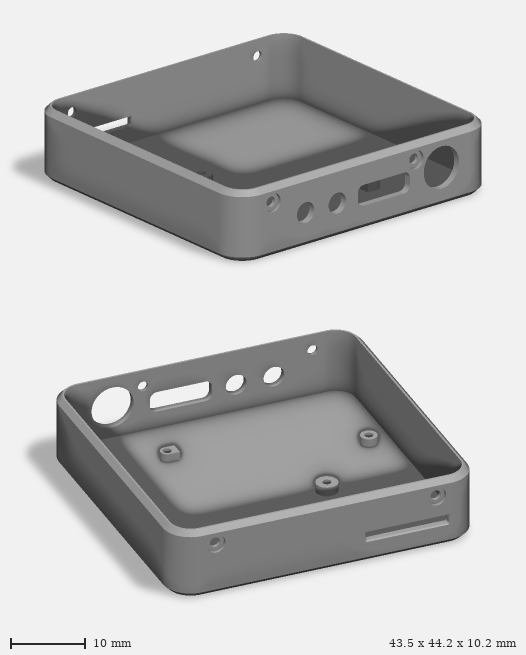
import cadquery as cq

length_x = 43.5
length_y = 44.2
height = 10.2
wall = 1.0
floor = 0.9
corner_radius = 4
rim_chamfer = 0.75

outer_x = length_x / 2
inner_x = outer_x - wall
floor_top = floor - height / 2
wall_cut_depth = 2 * wall

post_bore = 1.25
post_height = 1.33
round_posts = [
    (-3.55, -7.8, 3.1),
    (5.8, -17.85, 2.4),
]
d_post_x = 12.5
d_post_y = 8.6
d_post_width = 1.95
d_post_flat_offset = 1.45

screw_z = 2.65
screw_y = 16.05
screw_hole = 1.45
screw_head = 2.65
screw_head_depth = 0.5
near_screw_positions = [(-screw_y, screw_z), (screw_y, screw_z)]
far_screw_positions = [(-screw_y, screw_z), (8.6, screw_z)]

card_y = -11.75
card_length = 12.38
card_top = -0.45
card_height = 1.6
card_bevel = 0.18
card_corner_radius = 0.25

connector_z = -0.18
power_y = 13.05
power_z = 0.45
power_diameter = 6.1
port_y = 3.1
port_length = 9.0
port_height = 3.0
port_radius = 1.0
jack_diameter = 3.0
jack_positions = [(-4.95, connector_z), (-10.45, connector_z)]


def wall_plane(x):
    """Plane facing +X whose local axes are the part's Y and Z."""
    return cq.Workplane("YZ", origin=(x, 0, 0))


def make_shell():
    body = cq.Workplane("XY").box(length_x, length_y, height)
    body = body.edges("|Z").fillet(corner_radius)
    body = body.faces("<Z or >Z").chamfer(rim_chamfer)
    cavity = (
        cq.Workplane("XY", origin=(0, 0, floor_top))
        .rect(length_x - 2 * wall, length_y - 2 * wall)
        .extrude(height)
        .edges("|Z")
        .fillet(corner_radius - wall)
    )
    return body.cut(cavity)


def make_round_post(x, y, diameter):
    return (
        cq.Workplane("XY", origin=(x, y, floor_top))
        .circle(diameter / 2)
        .circle(post_bore / 2)
        .extrude(post_height)
    )


def make_d_post():
    radius = d_post_width / 2
    base = cq.Workplane("XY", origin=(d_post_x, d_post_y, floor_top))
    post = (
        base.moveTo(-radius, -d_post_flat_offset)
        .lineTo(radius, -d_post_flat_offset)
        .lineTo(radius, 0)
        .threePointArc((0, radius), (-radius, 0))
        .close()
        .extrude(post_height)
    )
    return post.cut(base.circle(post_bore / 2).extrude(post_height))


def make_near_screw_holes():
    outside = wall_plane(-outer_x).pushPoints(near_screw_positions)
    holes = outside.circle(screw_hole / 2).extrude(wall_cut_depth)
    heads = outside.circle(screw_head / 2).extrude(screw_head_depth)
    return holes.union(heads)


def card_slot_outline(inset):
    """Rounded slot outline, inset at its ends and lower edge but not at its top."""
    slot_height = card_height - inset
    return (
        cq.Sketch()
        .push([(card_y, card_top - slot_height / 2)])
        .rect(card_length - 2 * inset, slot_height)
        .reset()
        .vertices()
        .fillet(card_corner_radius)
    )


def make_card_slot():
    mouth = card_slot_outline(0)
    throat = card_slot_outline(card_bevel)
    bevel_end = cq.Location(cq.Vector(0, 0, card_bevel))
    bevel = wall_plane(-outer_x).placeSketch(mouth, throat.moved(bevel_end)).loft()
    passage = wall_plane(-outer_x).placeSketch(throat).extrude(wall_cut_depth)
    return passage.union(bevel)


def make_far_openings():
    base = wall_plane(inner_x - wall / 2)
    screws = base.pushPoints(far_screw_positions)
    openings = screws.circle(screw_hole / 2).extrude(wall_cut_depth)
    heads = wall_plane(outer_x - screw_head_depth).pushPoints(far_screw_positions)
    openings = openings.union(heads.circle(screw_head / 2).extrude(wall_cut_depth))
    jacks = base.pushPoints(jack_positions)
    openings = openings.union(jacks.circle(jack_diameter / 2).extrude(wall_cut_depth))
    power = base.center(power_y, power_z)
    openings = openings.union(power.circle(power_diameter / 2).extrude(wall_cut_depth))
    port = (
        base
        .center(port_y, connector_z)
        .rect(port_length, port_height)
        .extrude(wall_cut_depth)
        .edges("|X")
        .fillet(port_radius)
    )
    return openings.union(port)


result = make_shell()
for x, y, diameter in round_posts:
    result = result.union(make_round_post(x, y, diameter))
result = result.union(make_d_post())
result = result.cut(make_near_screw_holes())
result = result.cut(make_card_slot())
result = result.cut(make_far_openings())